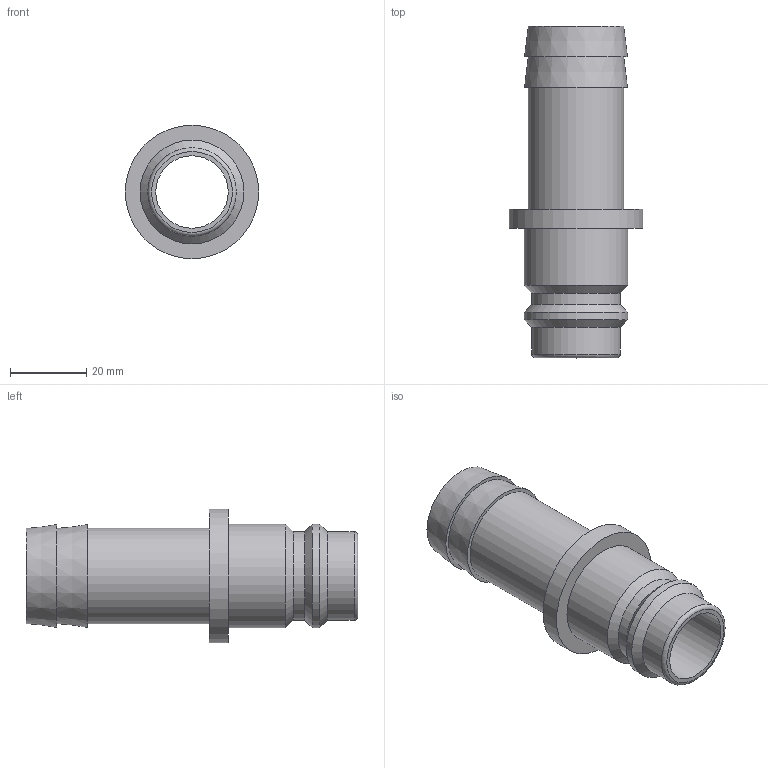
import cadquery as cq

total_length = 87.0
bore_radius = 9.5

tip_radius = 11.6
tip_length = 8.0
tip_round = 1.0
spigot_radius = 13.6
cone_length = 2.0
ridge_land = 2.0
groove_width = 3.0
spigot_end = 34.0

collar_radius = 17.5
collar_width = 5.0

shaft_radius = 12.5
barb_radius = 13.5
barb_length = 8.0
barb_count = 2

ridge_start = tip_length + cone_length
ridge_end = ridge_start + ridge_land
groove_start = ridge_end + cone_length
groove_end = groove_start + groove_width
spigot_start = groove_end + cone_length
collar_end = spigot_end + collar_width
barbs_start = total_length - barb_count * barb_length


def add_plug(profile):
    """Trace the tip, the locking ridge, the seal groove and the spigot."""
    return (
        profile
        .lineTo(tip_radius, tip_length)
        .lineTo(spigot_radius, ridge_start)
        .lineTo(spigot_radius, ridge_end)
        .lineTo(tip_radius, groove_start)
        .lineTo(tip_radius, groove_end)
        .lineTo(spigot_radius, spigot_start)
        .lineTo(spigot_radius, spigot_end)
    )


def add_collar(profile):
    """Trace the stop collar and step down to the hose shaft."""
    return (
        profile
        .lineTo(collar_radius, spigot_end)
        .lineTo(collar_radius, collar_end)
        .lineTo(shaft_radius, collar_end)
    )


def add_barbs(profile):
    """Trace the shaft and its barbs, each tapering toward the hose end."""
    profile = profile.lineTo(shaft_radius, barbs_start)
    for index in range(barb_count):
        barb_base = barbs_start + index * barb_length
        profile = (
            profile
            .lineTo(barb_radius, barb_base)
            .lineTo(shaft_radius, barb_base + barb_length)
        )
    return profile


def make_connector():
    """Revolve the half section and move the part to its centred position."""
    profile = (
        cq.Workplane("XY")
        .moveTo(bore_radius, 0)
        .lineTo(tip_radius - tip_round, 0)
        .radiusArc((tip_radius, tip_round), -tip_round)
    )
    profile = add_barbs(add_collar(add_plug(profile)))
    profile = profile.lineTo(bore_radius, total_length).close()
    body = profile.revolve(360, (0, 0, 0), (0, 1, 0))
    return body.translate((0, -total_length / 2, 0))


result = make_connector()